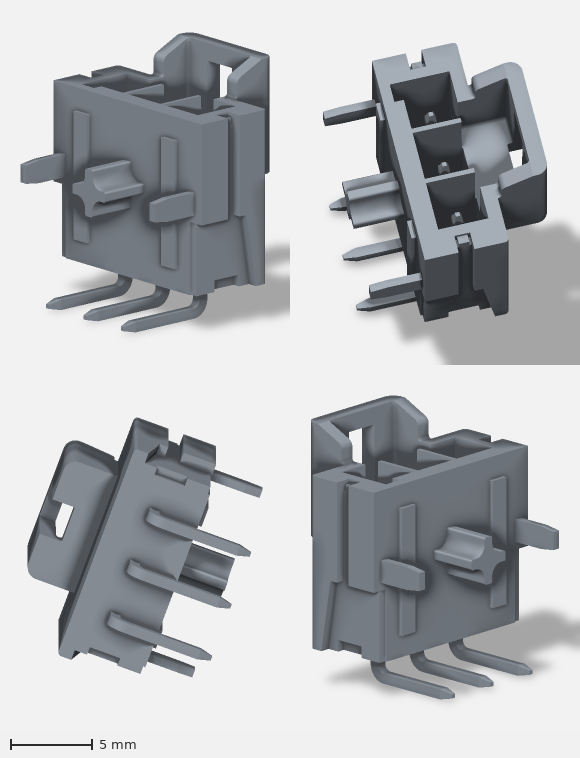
import cadquery as cq


body_width = 13.8
body_depth = 5.36
body_height = 11.15
body_corner_radius = 0.25
half_width = body_width / 2

pin_count = 3
pin_pitch = 3.47
cavity_half_width = 5.09
divider_thickness = 0.3
cavity_wall_draft = 0.1
cavity_front = 1.29
cavity_back = 4.48
cavity_floor = 2.0
key_width = 1.2
key_front = 0.69

latch_half_width = 3.9
latch_back = 8.65
latch_bottom = 5.92
latch_top = 13.33
latch_corner_radius = 0.76
latch_arm_front = 5.6
latch_arm_shoulder = 12.39
latch_arm_radius = 0.5
latch_foot_radius = 0.2
latch_wall_thickness = 1.03
latch_wall_front = latch_back - latch_wall_thickness
latch_wall_draft = 0.07
recess_half_width = 2.93
recess_front = 4.4
recess_floor = 7.2
recess_fillet = 0.2
window_width = 2.3
window_top = 12.2
window_front = 7.18
window_corner_radius = 0.1

lock_inner = 5.75
lock_thickness = 0.5
lock_outer = lock_inner + lock_thickness
lock_center_y = 2.65
lock_width = 1.0
lock_shoulder = 10.47
lock_tab_width = 0.66
lock_tab_top = 10.92
lock_leg_height = 1.46
lock_leg_length = 3.27
lock_leg_straight = 2.2
lock_leg_end_height = 1.16

relief_height = 4.69
relief_back_top = 3.7
relief_back_bottom = 4.46
relief_front_step = 0.14
notch_width = 2.0
notch_height = 0.75
notch_depth = 0.5

rib_inner = 3.47
rib_width = 1.2
rib_height = 0.3
rib_bottom = 1.48
rib_length = 8.21
feature_center_z = 5.93
post_length = 3.2
post_half_span = 1.525
post_half_arm = 0.33
post_inner_radius = 0.8
post_tip_radius = 0.13

pin_size = 0.64
pin_y = 2.91
pin_top = 9.0
pin_bottom = -2.3
pin_bend_radius = 0.46
pin_end = -3.51
pin_taper_length = 0.81
pin_tip_size = 0.27


def block(x_range, y_range, z_range):
    """Axis-aligned box between the given limits."""
    lows, highs = zip(x_range, y_range, z_range)
    size = [high - low for low, high in zip(lows, highs)]
    return cq.Workplane("XY").box(*size, centered=False).translate(lows)


def both_sides(shape):
    """The shape together with its mirror image across X = 0."""
    return shape.union(shape.mirror("YZ"))


def make_body():
    body = block((-half_width, half_width), (0, body_depth), (0, body_height))
    return body.edges("|Z and >Y").fillet(body_corner_radius)


def make_latch():
    """Solid latch block; its sloped side outline is cut from the arms."""
    latch = block(
        (-latch_half_width, latch_half_width),
        (recess_front, latch_back),
        (latch_bottom, latch_top),
    )
    latch = latch.edges("|Z and >Y").fillet(latch_corner_radius)
    outline = (
        cq.Workplane("YZ")
        .moveTo(recess_front, latch_bottom)
        .lineTo(latch_back, latch_bottom)
        .lineTo(latch_back, latch_top)
        .lineTo(latch_wall_front, latch_top)
        .lineTo(latch_arm_front, latch_arm_shoulder)
        .lineTo(latch_arm_front, body_height)
        .lineTo(recess_front, body_height)
        .close()
        .extrude(latch_half_width, both=True)
    )
    shoulder = cq.selectors.NearestToPointSelector((0, latch_arm_front, latch_arm_shoulder))
    foot = cq.selectors.NearestToPointSelector((0, latch_arm_front, body_height))
    outline = outline.edges(shoulder).fillet(latch_arm_radius)
    outline = outline.edges(foot).fillet(latch_foot_radius)
    return latch.intersect(outline)


def make_latch_recess():
    """Space inside the loop, open to the cavities, with a drafted back wall."""
    recess = (
        cq.Workplane("YZ")
        .moveTo(recess_front, recess_floor)
        .lineTo(latch_wall_front - latch_wall_draft, recess_floor)
        .lineTo(latch_wall_front, latch_top)
        .lineTo(recess_front, latch_top)
        .close()
        .extrude(recess_half_width, both=True)
    )
    return recess.edges("(not >Z) and (not <Y)").fillet(recess_fillet)


def make_latch_window():
    window = block(
        (-window_width / 2, window_width / 2),
        (window_front, latch_back),
        (latch_bottom, window_top),
    )
    return window.edges("|Z and <Y").fillet(window_corner_radius)


def make_cavity(left, right, front):
    """Pin cavity whose side walls close in towards its floor."""
    return (
        cq.Workplane("XZ", origin=(0, cavity_back, 0))
        .moveTo(left, body_height)
        .lineTo(right, body_height)
        .lineTo(right - cavity_wall_draft, cavity_floor)
        .lineTo(left + cavity_wall_draft, cavity_floor)
        .close()
        .extrude(cavity_back - front)
    )


def make_cavities():
    half_divider = divider_thickness / 2
    divider_offset = pin_pitch / 2
    middle_edge = divider_offset - half_divider
    outer_edge = divider_offset + half_divider
    outer_cavity = make_cavity(outer_edge, cavity_half_width, cavity_front)
    middle_cavity = make_cavity(-middle_edge, middle_edge, cavity_front)
    key = make_cavity(-cavity_half_width, -cavity_half_width + key_width, key_front)
    return both_sides(outer_cavity).union(middle_cavity).union(key)


def make_side_reliefs():
    """Side grooves, sloped lower corner reliefs and underside notches."""
    groove_y = (lock_center_y - lock_width / 2, lock_center_y + lock_width / 2)
    groove = block((lock_outer, half_width), groove_y, (0, body_height))
    tab_space = block((lock_inner, lock_outer), groove_y, (lock_shoulder, body_height))
    corner = (
        cq.Workplane("YZ", origin=(lock_outer, 0, 0))
        .moveTo(0, 0)
        .lineTo(relief_back_bottom, 0)
        .lineTo(relief_back_top, relief_height)
        .lineTo(0, relief_height)
        .close()
        .extrude(half_width - lock_outer)
    )
    front_step = block((lock_inner, lock_outer), (0, relief_front_step), (0, relief_height))
    notch = block(
        (lock_outer - notch_depth, lock_outer),
        (lock_center_y - notch_width / 2, lock_center_y + notch_width / 2),
        (0, notch_height),
    )
    return both_sides(groove.union(tab_space).union(corner).union(front_step).union(notch))


def make_board_locks():
    """Tab above the lock shoulder and tapered leg out of the mounting face."""
    tab = block(
        (lock_inner, lock_outer),
        (lock_center_y - lock_tab_width / 2, lock_center_y + lock_tab_width / 2),
        (lock_shoulder, lock_tab_top),
    )
    half_leg = lock_leg_height / 2
    half_end = lock_leg_end_height / 2
    leg = (
        cq.Workplane("YZ", origin=(lock_inner, 0, feature_center_z))
        .moveTo(lock_center_y, half_leg)
        .lineTo(-lock_leg_straight, half_leg)
        .lineTo(-lock_leg_length, half_end)
        .lineTo(-lock_leg_length, -half_end)
        .lineTo(-lock_leg_straight, -half_leg)
        .lineTo(lock_center_y, -half_leg)
        .close()
        .extrude(lock_thickness)
    )
    return both_sides(tab.union(leg))


def make_ribs():
    rib = block(
        (rib_inner, rib_inner + rib_width),
        (-rib_height, 0),
        (rib_bottom, rib_bottom + rib_length),
    )
    return both_sides(rib)


def make_post():
    """Cross-shaped locating post with hollow inner corners and rounded arm tips."""
    arm_x = block(
        (-post_half_span, post_half_span),
        (-post_length, 0),
        (-post_half_arm, post_half_arm),
    ).edges("|Y").fillet(post_tip_radius)
    arm_z = arm_x.rotate((0, 0, 0), (0, 1, 0), 90)
    post = arm_x.union(arm_z)
    core = cq.selectors.BoxSelector(
        (-2 * post_half_arm, -post_length, -2 * post_half_arm),
        (2 * post_half_arm, 0, 2 * post_half_arm),
    )
    post = post.edges("|Y").edges(core).fillet(post_inner_radius)
    return post.translate((0, 0, feature_center_z))


def make_pin_tip(plane):
    """Square frustum that ends a pin, built on the pin's end plane."""
    return (
        cq.Workplane(plane)
        .rect(pin_size, pin_size)
        .workplane(offset=pin_taper_length)
        .rect(pin_tip_size, pin_tip_size)
        .loft()
    )


def make_pin():
    """Square pin bent from the cavity axis to the mounting direction."""
    half_pin = pin_size / 2
    shank_top = pin_top - pin_taper_length
    leg_end = pin_end + pin_taper_length
    bend_z = pin_bottom + pin_size
    shank = block(
        (-half_pin, half_pin),
        (pin_y - half_pin, pin_y + half_pin),
        (pin_bottom, shank_top),
    )
    leg = block((-half_pin, half_pin), (leg_end, pin_y), (pin_bottom, bend_z))
    pin = shank.union(leg)
    inner = cq.selectors.NearestToPointSelector((0, pin_y - half_pin, bend_z))
    outer = cq.selectors.NearestToPointSelector((0, pin_y + half_pin, pin_bottom))
    pin = pin.edges("|X").edges(inner).fillet(pin_bend_radius)
    pin = pin.edges("|X").edges(outer).fillet(pin_bend_radius + pin_size)
    top_plane = cq.Plane((0, pin_y, shank_top), xDir=(1, 0, 0), normal=(0, 0, 1))
    end_plane = cq.Plane((0, leg_end, pin_bottom + half_pin), xDir=(1, 0, 0), normal=(0, -1, 0))
    return pin.union(make_pin_tip(top_plane)).union(make_pin_tip(end_plane))


result = make_body().union(make_latch())
result = result.cut(make_latch_recess()).cut(make_latch_window())
result = result.cut(make_cavities()).cut(make_side_reliefs())
result = result.union(make_board_locks()).union(make_ribs()).union(make_post())
for index in range(pin_count):
    pin_x = (index - (pin_count - 1) / 2) * pin_pitch
    result = result.union(make_pin().translate((pin_x, 0, 0)))